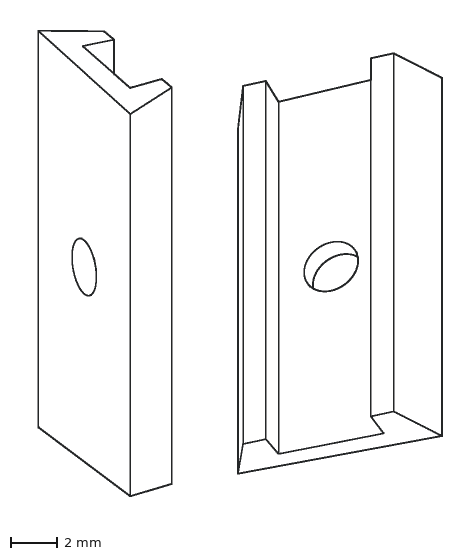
import cadquery as cq

length = 18.5
front_width = 9.45
thickness = 2.55
side_inset = 1.24
end_drop = 0.33
channel_width = 4.87
floor_thickness = 1.05
hole_diameter = 2.5

back_width = front_width - 2 * side_inset
channel_depth = thickness - floor_thickness


def face_outline(width, right_drop):
    """Corners in X and Z of a face whose +X edge is shortened at both ends."""
    half_width = width / 2
    half_length = length / 2
    right_half_length = half_length - right_drop
    return [
        (-half_width, -half_length),
        (half_width, -right_half_length),
        (half_width, right_half_length),
        (-half_width, half_length),
    ]


def dovetail_body():
    """Dovetail bar with twisted ends, ruled from the front face at Y = 0 to the back."""
    return (
        cq.Workplane("XZ")
        .polyline(face_outline(front_width, end_drop))
        .close()
        .workplane(offset=-thickness)
        .polyline(face_outline(back_width, 0))
        .close()
        .loft(ruled=True)
    )


def channel():
    """Rectangular channel open at the back and running the full length."""
    return (
        cq.Workplane("XY")
        .box(channel_width, channel_depth, length, centered=(True, False, True))
        .translate((0, floor_thickness, 0))
    )


def hole():
    """Round hole through the channel floor at the middle of the part."""
    return cq.Workplane("XZ").circle(hole_diameter / 2).extrude(-thickness)


result = dovetail_body().cut(channel()).cut(hole())